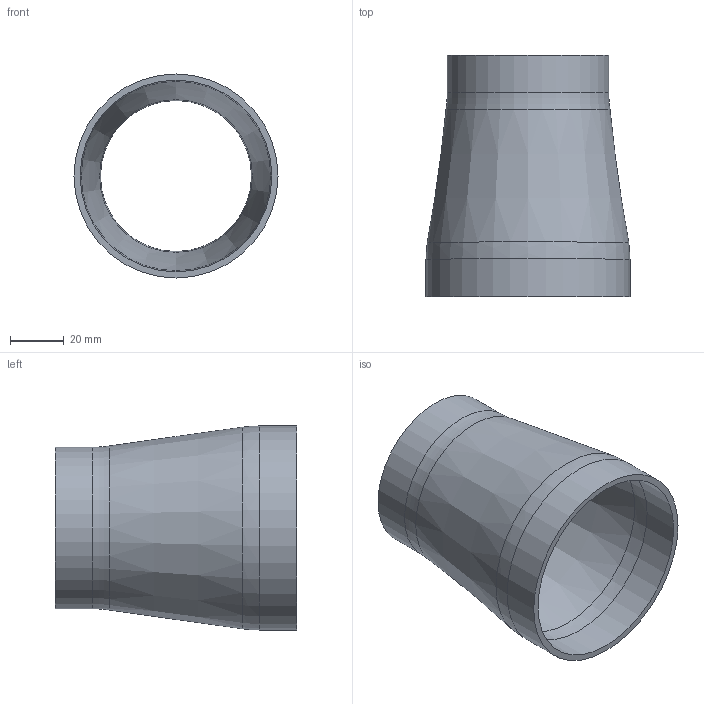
import cadquery as cq
import math

LENGTH = 90.0
LARGE_OUTER_DIAMETER = 76.1
LARGE_INNER_DIAMETER = 71.5
SMALL_OUTER_DIAMETER = 60.3
SMALL_INNER_DIAMETER = 56.3
COLLAR_LENGTH = 14.0
BEND_RADIUS = 45.0

PROFILE_PLANE = cq.Plane(origin=(0, 0, 0), xDir=(0, 0, 1), normal=(-1, 0, 0))


def reducer_solid(large_diameter, small_diameter):
    """Solid of revolution: collar, tangent bend, cone, tangent bend, collar."""
    large_radius = large_diameter / 2
    small_radius = small_diameter / 2
    taper_end = LENGTH - COLLAR_LENGTH

    axial_offset = taper_end - COLLAR_LENGTH
    radial_offset = small_radius - large_radius + 2 * BEND_RADIUS
    centre_distance = math.hypot(axial_offset, radial_offset)
    centre_angle = math.atan2(axial_offset, radial_offset)
    cone_angle = centre_angle - math.acos(2 * BEND_RADIUS / centre_distance)

    def bend_offset(angle):
        """Radial and axial travel along a bend after turning by the angle."""
        return BEND_RADIUS * (1 - math.cos(angle)), BEND_RADIUS * math.sin(angle)

    def large_bend_point(angle):
        radial, axial = bend_offset(angle)
        return large_radius - radial, COLLAR_LENGTH + axial

    def small_bend_point(angle):
        radial, axial = bend_offset(angle)
        return small_radius + radial, taper_end - axial

    return (
        cq.Workplane(PROFILE_PLANE)
        .lineTo(large_radius, 0)
        .lineTo(large_radius, COLLAR_LENGTH)
        .threePointArc(large_bend_point(cone_angle / 2), large_bend_point(cone_angle))
        .lineTo(*small_bend_point(cone_angle))
        .threePointArc(small_bend_point(cone_angle / 2), (small_radius, taper_end))
        .lineTo(small_radius, LENGTH)
        .lineTo(0, LENGTH)
        .close()
        .revolve(360, (0, 0), (0, 1))
    )


outer_body = reducer_solid(LARGE_OUTER_DIAMETER, SMALL_OUTER_DIAMETER)
bore = reducer_solid(LARGE_INNER_DIAMETER, SMALL_INNER_DIAMETER)
result = outer_body.cut(bore)